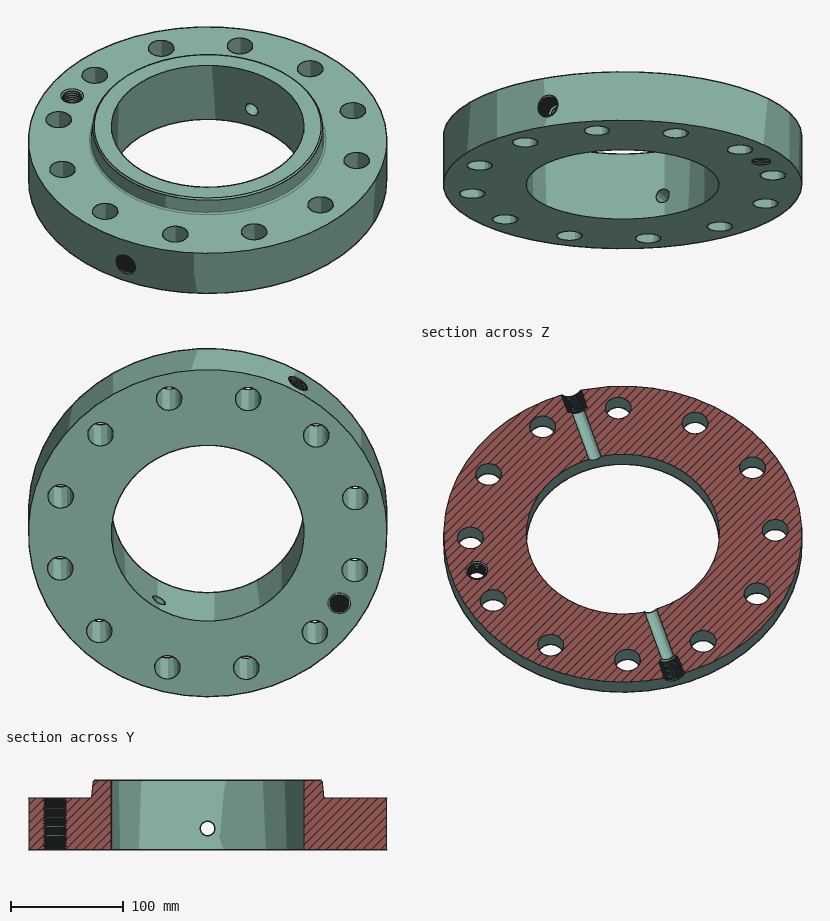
import cadquery as cq
import math

flange_diameter = 317.5
flange_thickness = 46.0
bore_diameter = 170.6

total_height = 61.8
hub_base_radius = 103.2
hub_top_radius = 101.8
hub_chamfer_width = 1.3
hub_chamfer_height = 1.6
hub_fillet_radius = 1.6

bolt_hole_count = 12
bolt_hole_diameter = 22.5
bolt_circle_radius = 135.0

jack_major_diameter = 20.0
jack_minor_diameter = 16.6
jack_pitch = 2.5

crest_flat_share = 0.25

tap_height = 19.0
tap_drill_diameter = 12.7
tap_major_diameter = 20.6
tap_thread_height = 1.4
tap_pitch = 1.8
tap_thread_turns = 11
tap_taper = 1 / 32
tap_cone_angle = math.radians(59)

cut_margin = 2.0
root_search_margin = 1.0


def flange_body():
    """Revolved ring with its tapered, chamfered and filleted hub."""
    profile = [
        (bore_diameter / 2, 0),
        (flange_diameter / 2, 0),
        (flange_diameter / 2, flange_thickness),
        (hub_base_radius, flange_thickness),
        (hub_top_radius, total_height - hub_chamfer_height),
        (hub_top_radius - hub_chamfer_width, total_height),
        (bore_diameter / 2, total_height),
    ]
    body = cq.Workplane("XZ").polyline(profile).close().revolve(360, (0, 0), (0, 1))
    root_reach = hub_base_radius + root_search_margin
    hub_root = cq.selectors.BoxSelector(
        (-root_reach, -root_reach, flange_thickness - root_search_margin),
        (root_reach, root_reach, flange_thickness + root_search_margin),
        boundingbox=True,
    )
    return body.edges(hub_root).fillet(hub_fillet_radius)


def thread_points(major_radius, thread_height, pitch, turns, taper=0.0):
    """Zigzag (radius, depth) points of annular V grooves with flat crests, from the mouth inward."""
    points = [(major_radius, 0)]
    half_flat = crest_flat_share * pitch / 2
    for turn in range(turns):
        crest_middle = (turn + 0.5) * pitch
        for depth in (crest_middle - half_flat, crest_middle + half_flat):
            points.append((major_radius - thread_height - taper * depth, depth))
        root_depth = (turn + 1) * pitch
        points.append((major_radius - taper * root_depth, root_depth))
    return points


def revolved_cutter(points):
    """Solid of revolution about +Z whose mouth is at Z = 0, reaching down to the last point."""
    mouth_radius = points[0][0]
    end_depth = points[-1][1]
    outline = [(0, cut_margin), (mouth_radius, cut_margin)]
    outline += [(radius, -depth) for radius, depth in points]
    outline.append((0, -end_depth))
    return cq.Workplane("XZ").polyline(outline).close().revolve(360, (0, 0), (0, 1))


def bolt_holes():
    return (
        cq.Workplane("XY")
        .polarArray(bolt_circle_radius, 180 / bolt_hole_count, 360, bolt_hole_count)
        .circle(bolt_hole_diameter / 2)
        .extrude(flange_thickness)
    )


def jack_screw_hole():
    turns = math.ceil(flange_thickness / jack_pitch)
    thread_height = (jack_major_diameter - jack_minor_diameter) / 2
    points = thread_points(jack_major_diameter / 2, thread_height, jack_pitch, turns)
    return revolved_cutter(points).translate((-bolt_circle_radius, 0, flange_thickness))


def pressure_tap():
    """Tapered thread, drill point and through drilling of the tap on the -Y side."""
    drill_radius = tap_drill_diameter / 2
    points = thread_points(
        tap_major_diameter / 2, tap_thread_height, tap_pitch, tap_thread_turns, tap_taper
    )
    thread_end_depth = points[-1][1]
    cone_start_radius = points[-1][0] - tap_thread_height
    cone_length = (cone_start_radius - drill_radius) / math.tan(tap_cone_angle)
    points.append((cone_start_radius, thread_end_depth))
    points.append((drill_radius, thread_end_depth + cone_length))
    points.append((drill_radius, (flange_diameter - bore_diameter) / 2 + cut_margin))
    cutter = revolved_cutter(points).rotate((0, 0, 0), (1, 0, 0), 90)
    return cutter.translate((0, -flange_diameter / 2, tap_height))


result = flange_body().cut(bolt_holes()).cut(jack_screw_hole())
for side_angle in (0, 180):
    result = result.cut(pressure_tap().rotate((0, 0, 0), (0, 0, 1), side_angle))